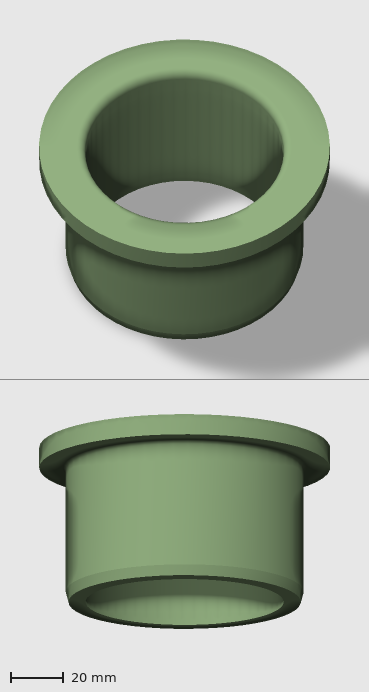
import cadquery as cq
import math

flange_diameter = 110.0
sleeve_diameter = 90.0
bore_diameter = 75.0
total_height = 60.0
flange_thickness = 7.8
bore_mouth_radius = 3.0
neck_fillet_radius = 1.2
lead_in_height = 4.0
lead_in_angle = 15.0

flange_bottom = total_height - flange_thickness
lead_in_depth = lead_in_height * math.tan(math.radians(lead_in_angle))


def make_sleeve():
    """Sleeve with a shallow conical lead-in at its lower end."""
    radius = sleeve_diameter / 2
    profile = (
        cq.Workplane("XZ")
        .lineTo(radius - lead_in_depth, 0)
        .lineTo(radius, lead_in_height)
        .lineTo(radius, flange_bottom)
        .lineTo(0, flange_bottom)
        .close()
    )
    return profile.revolve(360, (0, 0, 0), (0, 1, 0))


def make_flange():
    """Flat collar at the top of the sleeve."""
    return (
        cq.Workplane("XY")
        .workplane(offset=flange_bottom)
        .circle(flange_diameter / 2)
        .extrude(flange_thickness)
    )


body = make_sleeve().union(make_flange())

body = body.faces("|Z").faces(">Z[-2]").edges(cq.selectors.RadiusNthSelector(0)).fillet(neck_fillet_radius)

body = body.faces(">Z").workplane().hole(bore_diameter)
result = body.faces(">Z").edges(cq.selectors.RadiusNthSelector(0)).fillet(bore_mouth_radius)